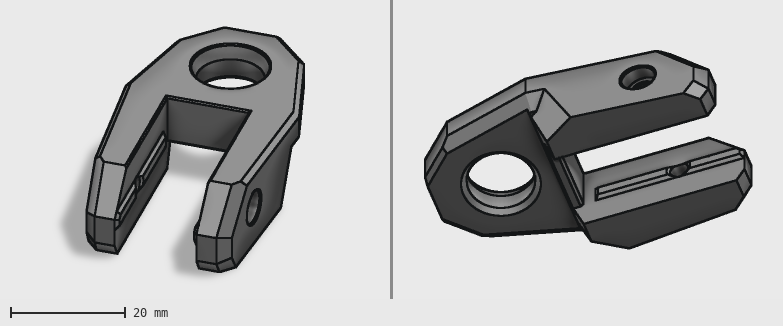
import cadquery as cq
import math

length = 54.65
width = 31.75
height = 15.0
y_head_end = length / 2
y_tip = -length / 2
z_bottom = -height
big = 4 * length

head_end_half = 5.15
shoulder_half, y_shoulder = 11.65, 20.9
hip_half, y_hip = width / 2, 4.85
tip_half = 13.2

head_thickness = 7.05
tip_slope = 6.95
tip_foot_height = 2.55
tip_foot_angle = 30.0
y_heel = 2.45
heel_angle = 20.0

top_bevel = 1.0
tip_corner_bevel = 2.0
head_nose_bevel = 1.0
head_side_bevel = 1.95
shelf_depth = 7.6
heel_corner_y = 1.5
heel_corner_azimuth = 32.7
heel_corner_draft = 16.2

slot_half = 7.5
y_slot = 2.45
slot_top_bevel = 0.35
bridge_depth = 9.6
bridge_bevel = 0.55

rib_width = 3.3
rib_height = 0.65
y_rib_end = 0.2

y_cross, z_cross = -15.3, -height / 2
cross_radius = 3.4 / 2
counterbore_radius = 6.0 / 2
counterbore_floor = 11.55
hole_bevel = 0.3
rib_countersink = 0.5

y_seat = 15.1
seat_radius = 6.95
seat_centre_depth = -0.95
bore_radius = 12.0 / 2
seat_rim_bevel = 0.3
bore_bottom_bevel = 1.0


def unit(azimuth, elevation=0.0):
    """Direction from an azimuth (from +X towards +Y) and an elevation, in degrees."""
    a = math.radians(azimuth)
    e = math.radians(elevation)
    return cq.Vector(math.cos(a) * math.cos(e), math.sin(a) * math.cos(e), math.sin(e))


def mirrored(vector):
    return cq.Vector(-vector.x, vector.y, vector.z)


def trim(body, point, normal):
    """Remove everything on the side of the plane that the normal points to."""
    plane = cq.Plane(origin=point.toTuple(), normal=normal.toTuple())
    return body.cut(cq.Workplane(plane).rect(big, big).extrude(big))


def trim_pair(body, point, normal):
    """Trim with a plane and with its mirror image across the centre plane."""
    return trim(trim(body, point, normal), mirrored(point), mirrored(normal))


def azimuth_between(start, end):
    """Azimuth of the outward normal of an outline side that runs towards -Y."""
    return math.degrees(math.atan2(end[0] - start[0], start[1] - end[1]))


half_outline = [
    (head_end_half, y_head_end),
    (shoulder_half, y_shoulder),
    (hip_half, y_hip),
    (tip_half, y_tip),
]
nose_azimuth, head_azimuth, leg_azimuth = (
    azimuth_between(start, end) for start, end in zip(half_outline, half_outline[1:])
)


def side_half(y):
    """Half width of the legs at a given Y."""
    return tip_half + (hip_half - tip_half) * (y - y_tip) / (y_hip - y_tip)


def plan_prism(depth):
    left = [(-x, y) for x, y in reversed(half_outline)]
    return cq.Workplane("XY").polyline(half_outline + left).close().extrude(-depth)


def make_head():
    """Full-length slab with a bevelled underside."""
    slab = plan_prism(head_thickness)
    bevels = [
        (nose_azimuth, shoulder_half, y_shoulder, head_nose_bevel),
        (head_azimuth, hip_half, y_hip, head_side_bevel),
        (leg_azimuth, hip_half, y_hip, head_side_bevel),
    ]
    for azimuth, x, y, size in bevels:
        slab = trim_pair(slab, cq.Vector(x, y, size - head_thickness), unit(azimuth, -45))
    return slab


def make_legs():
    """Full-height block in front of the sloping heel, with its rear corners cut away."""
    heel_edge = cq.Vector(0, y_heel, z_bottom)
    block = trim(plan_prism(height), heel_edge, unit(90, -heel_angle))
    corner = cq.Vector(side_half(heel_corner_y), heel_corner_y, head_side_bevel - head_thickness)
    lower = trim_pair(block, corner, unit(heel_corner_azimuth, -heel_corner_draft))
    shelf = trim(block, cq.Vector(0, 0, -shelf_depth), cq.Vector(0, 0, -1))
    hip = cq.Vector(hip_half, y_hip, head_side_bevel - head_thickness)
    for azimuth in (head_azimuth, leg_azimuth):
        shelf = trim_pair(shelf, hip, unit(azimuth, -45))
    return lower.union(shelf)


def shape_tips(body):
    """Slope, foot bevel and corner bevels of the leg tips."""
    slope_edge = cq.Vector(0, y_tip, -tip_slope)
    foot_edge = cq.Vector(0, y_tip, z_bottom + tip_foot_height)
    tip_faces = [
        (slope_edge, unit(-90, 45)),
        (slope_edge, unit(-90)),
        (foot_edge, unit(-90, -tip_foot_angle)),
    ]
    inset = cq.Vector(tip_half - tip_corner_bevel, 0, 0)
    for edge, normal in tip_faces:
        body = trim(body, edge, normal)
        body = trim_pair(body, edge + inset, normal + unit(leg_azimuth))
    return body


def bevel_top(body):
    body = trim(body, cq.Vector(0, y_head_end, -top_bevel), unit(90, 45))
    for azimuth, (x, y) in zip((nose_azimuth, head_azimuth, leg_azimuth), half_outline):
        body = trim_pair(body, cq.Vector(x, y, -top_bevel), unit(azimuth, 45))
    return body


def make_slot():
    """Opening between the legs, with a bevelled top edge and the space under the bridge."""
    y_front = y_tip - length
    opening = cq.Workplane("XY").box(
        2 * slot_half, y_slot - y_front, height, centered=(True, False, False)
    ).translate((0, y_front, z_bottom))
    rim = (
        cq.Workplane("XY")
        .center(0, (y_slot + slot_top_bevel + y_front) / 2)
        .rect(2 * (slot_half + slot_top_bevel), y_slot + slot_top_bevel - y_front)
        .extrude(-slot_top_bevel, taper=45)
    )
    under_bridge = (
        cq.Workplane("YZ")
        .moveTo(y_slot - bridge_bevel, -bridge_depth + 2 * bridge_bevel)
        .lineTo(y_slot + bridge_bevel, -bridge_depth)
        .lineTo(y_head_end, -bridge_depth)
        .lineTo(y_head_end, z_bottom)
        .lineTo(y_slot - bridge_bevel, z_bottom)
        .close()
        .extrude(slot_half, both=True)
    )
    return opening.union(rim).union(under_bridge)


def make_rib():
    """Rib on the inner face of the +X leg, bevelled all round and along the tip slope."""
    rib_length = y_rib_end - y_tip
    centre = (slot_half, y_tip + rib_length / 2, z_cross)
    inner_face = cq.Plane(origin=centre, xDir=(0, 1, 0), normal=(-1, 0, 0))
    rib = cq.Workplane(inner_face).rect(rib_length, rib_width).extrude(rib_height, taper=45)
    slope_edge = cq.Vector(slot_half, y_tip, -tip_slope)
    return trim(rib, slope_edge, unit(-90, 45) + unit(180))


def make_cross_hole():
    """Through hole and counterbore of the +X leg, as one turned cutter."""
    x_rib = slot_half - rib_height
    x_clear = width
    profile = [
        (0, 0),
        (x_rib, cross_radius + rib_countersink),
        (x_rib + rib_countersink, cross_radius),
        (counterbore_floor - hole_bevel, cross_radius),
        (counterbore_floor, cross_radius + hole_bevel),
        (counterbore_floor, counterbore_radius),
        (x_clear, counterbore_radius),
        (x_clear, 0),
    ]
    cutter = cq.Workplane("XY").polyline(profile).close().revolve(360, (0, 0), (1, 0))
    return cutter.translate((0, y_cross, z_cross))


def bevel_counterbores(body):
    """Bevel the counterbore rims, which lie on the tapered sides of the legs."""
    for side in (-1, 1):
        rim_centre = (side * side_half(y_cross), y_cross, z_cross)
        rim = cq.selectors.NearestToPointSelector(rim_centre)
        body = body.edges(rim).chamfer(hole_bevel)
    return body


def make_seat():
    """Bore with a spherical seat opening to the top face, as one turned cutter."""
    rim_angle = math.asin((seat_rim_bevel - seat_centre_depth) / seat_radius)
    foot_angle = math.acos(bore_radius / seat_radius)

    def on_seat(angle):
        return (
            seat_radius * math.cos(angle),
            -seat_centre_depth - seat_radius * math.sin(angle),
        )

    rim_radius = on_seat(rim_angle)[0]
    cutter = (
        cq.Workplane("XZ")
        .moveTo(0, 0)
        .lineTo(rim_radius + seat_rim_bevel, 0)
        .lineTo(rim_radius, -seat_rim_bevel)
        .threePointArc(on_seat((rim_angle + foot_angle) / 2), on_seat(foot_angle))
        .lineTo(bore_radius, bore_bottom_bevel - head_thickness)
        .lineTo(bore_radius + bore_bottom_bevel, -head_thickness)
        .lineTo(0, -head_thickness)
        .close()
        .revolve(360, (0, 0), (0, 1))
    )
    return cutter.translate((0, y_seat, 0))


def both_sides(solid):
    return solid.union(solid.mirror("YZ"))


body = make_head().union(make_legs())
body = body.cut(make_slot())
body = body.union(both_sides(make_rib()))
body = bevel_top(shape_tips(body))
body = body.cut(both_sides(make_cross_hole()))
body = bevel_counterbores(body)
result = body.cut(make_seat())